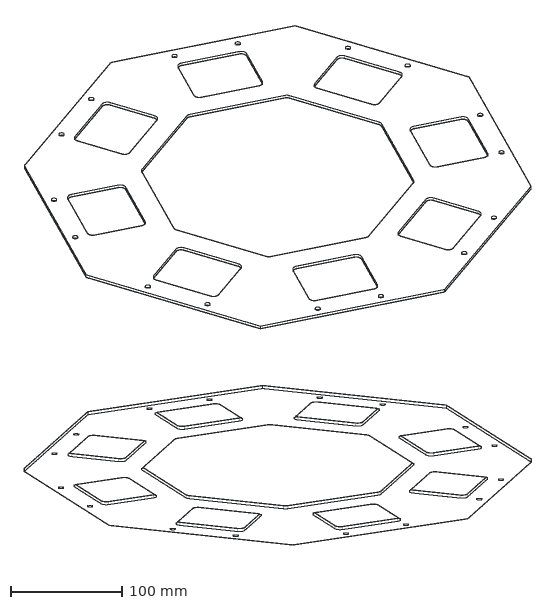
import cadquery as cq
import math

outer_flats = 422.0
inner_flats = 227.5
thickness = 3.0
side_count = 8

window_length = 65.0
window_depth = 55.0
window_margin = 21.0
window_corner_radius = 5.0
opening_corner_radius = 5.0

hole_diameter = 4.5
hole_spacing = 60.0
hole_margin = 9.0

side_angle = 360 / side_count
window_radius = outer_flats / 2 - window_margin - window_depth / 2
hole_radius = outer_flats / 2 - hole_margin


def octagon(across_flats):
    """Octagonal slab with its flats square to the X and Y axes."""
    across_corners = across_flats / math.cos(math.pi / side_count)
    return (
        cq.Workplane("XY")
        .transformed(rotate=(0, 0, side_angle / 2))
        .polygon(side_count, across_corners)
        .extrude(thickness)
    )


def side_cutter():
    """Rounded window and pair of holes for the side facing +X."""
    window = (
        cq.Workplane("XY")
        .center(window_radius, 0)
        .rect(window_depth, window_length)
        .extrude(thickness)
        .edges("|Z")
        .fillet(window_corner_radius)
    )
    holes = (
        cq.Workplane("XY")
        .pushPoints([(hole_radius, -hole_spacing / 2), (hole_radius, hole_spacing / 2)])
        .circle(hole_diameter / 2)
        .extrude(thickness)
    )
    return window.union(holes)


opening = octagon(inner_flats).edges("|Z").fillet(opening_corner_radius)
plate = octagon(outer_flats).cut(opening)

cutter = side_cutter()
for side in range(side_count):
    plate = plate.cut(cutter.rotate((0, 0, 0), (0, 0, 1), side * side_angle))

result = plate